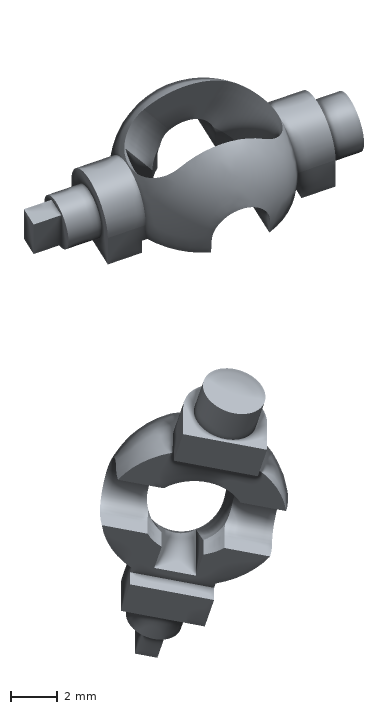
import cadquery as cq
import math

ball_radius = 4.104
swing_radius = 1.88
swing_angle = 33.0
cavity_radius = 2.22

hub_width = 2 * swing_radius
hub_arch_z = 0.11
hub_end = 5.45
hub_bottom = -1.59
foot_inner = 3.82
ball_bottom = -0.82

cross_slot_diameter = 2.8
notch_width = 1.86
notch_end = 3.31

pin_length = 1.59
front_pin_diameter = 2.5
back_pin_diameter = 2.8
tang_width = 1.0
tang_height = 1.9
tang_length = 1.32

through_length = 4 * ball_radius
reach = through_length / 2


def make_hub():
    """Arch-topped bar along Y that carries both pins."""
    outline = (
        cq.Workplane("XZ", origin=(0, hub_end, 0))
        .moveTo(-hub_width / 2, hub_bottom)
        .lineTo(hub_width / 2, hub_bottom)
        .lineTo(hub_width / 2, hub_arch_z)
        .threePointArc((0, hub_arch_z + hub_width / 2), (-hub_width / 2, hub_arch_z))
        .close()
    )
    return outline.extrude(2 * hub_end)


def make_pin(start, diameter):
    """Pin along -Y from the given Y position."""
    return cq.Workplane("XZ", origin=(0, start, 0)).circle(diameter / 2).extrude(pin_length)


def make_swing_clearance():
    """Space swept by a rod swinging about X through the ball centre."""
    spread = reach * math.tan(math.radians(swing_angle))
    clearance = (
        cq.Workplane("YZ")
        .polyline([(0, 0), (spread, reach), (-spread, reach)])
        .close()
        .extrude(swing_radius, both=True)
    )
    for angle in (-swing_angle, swing_angle):
        rod = cq.Workplane("XY").circle(swing_radius).extrude(reach)
        clearance = clearance.union(rod.rotate((0, 0, 0), (1, 0, 0), angle))
    return clearance


def make_cross_slot():
    """Round-topped slot along X, open at the bottom."""
    bore = cq.Workplane("YZ").circle(cross_slot_diameter / 2).extrude(reach, both=True)
    opening = cq.Workplane("XY").box(
        through_length, cross_slot_diameter, reach, centered=(True, True, False)
    )
    return bore.union(opening.translate((0, 0, -reach)))


def make_underside_cut():
    """Relief under the ball, between the two feet of the hub."""
    cut = cq.Workplane("XY").box(through_length, 2 * foot_inner, reach, centered=(True, True, False))
    return cut.translate((0, 0, ball_bottom - reach))


def make_notch():
    """Flat-sided notch in the front wall, open at the bottom."""
    notch = cq.Workplane("XY").box(notch_width, notch_end, through_length)
    return notch.translate((0, -notch_end / 2, 0))


def make_cavity():
    """Pocket around the ball centre: round at the top, straight below."""
    pocket = cq.Workplane("XY").sphere(cavity_radius)
    opening = cq.Workplane("XY").circle(cavity_radius).extrude(-reach)
    return pocket.union(opening)


body = cq.Workplane("XY").sphere(ball_radius).union(make_hub())
body = body.cut(make_swing_clearance())
body = body.cut(make_cavity())
body = body.cut(make_cross_slot())
body = body.cut(make_underside_cut())
body = body.cut(make_notch())

tang_plane = cq.Workplane("XZ", origin=(0, -hub_end - pin_length, 0))
tang = tang_plane.rect(tang_width, tang_height).extrude(tang_length)

result = (
    body.union(make_pin(-hub_end, front_pin_diameter))
    .union(make_pin(hub_end + pin_length, back_pin_diameter))
    .union(tang)
)